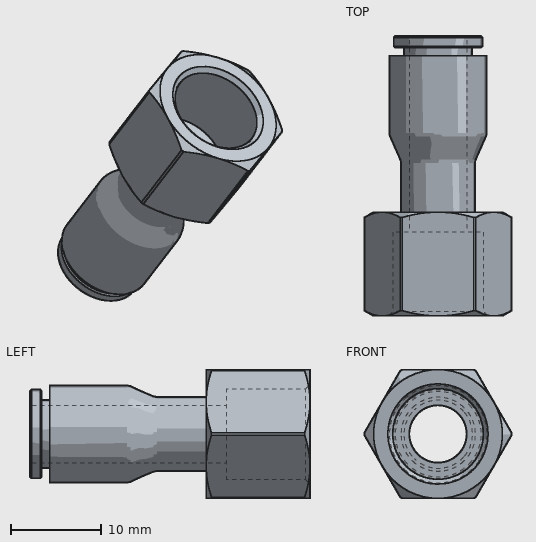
import cadquery as cq
import math

total_length = 31.05
nut_length = 11.52
cone_start = 17.17
cone_end = 20.1
body_end = 28.88
flange_start = 29.75

hex_sides = 6
across_flats = 14.28
across_corners = 16.33
nut_chamfer_angle = 30.0

stem_diameter = 8.23
body_diameter = 10.8
collar_diameter = 7.58
flange_diameter = 9.87
flange_chamfer = 0.2
cone_blend_radius = 1.0
selection_margin = 0.3

socket_diameter = 10.05
socket_mouth_diameter = 11.12
socket_depth = 9.3
through_diameter = 6.33


def revolve_profile(points):
    """Turn a closed (radius, length) outline around the Y axis."""
    return cq.Workplane("XY").polyline(points).close().revolve(360, (0, 0, 0), (0, 1, 0))


def make_nut():
    """Hexagon with flats facing +Z and -Z, turned down at its corners and ends."""
    hexagon = (
        cq.Workplane("XZ")
        .polygon(hex_sides, across_flats / math.cos(math.pi / hex_sides))
        .extrude(-nut_length)
    )
    face_radius = across_flats / 2
    corner_radius = across_corners / 2
    chamfer_length = (corner_radius - face_radius) * math.tan(math.radians(nut_chamfer_angle))
    turned_blank = revolve_profile([
        (0, 0),
        (face_radius, 0),
        (corner_radius, chamfer_length),
        (corner_radius, nut_length - chamfer_length),
        (face_radius, nut_length),
        (0, nut_length),
    ])
    return hexagon.intersect(turned_blank)


def make_body():
    """Stem, cone and cylinder with blended cone ends, then the collar and its flange."""
    stem_radius = stem_diameter / 2
    body_radius = body_diameter / 2
    barrel = revolve_profile([
        (0, 0),
        (stem_radius, 0),
        (stem_radius, cone_start),
        (body_radius, cone_end),
        (body_radius, body_end),
        (0, body_end),
    ])
    cone_edges = cq.selectors.BoxSelector(
        (-body_diameter, cone_start - selection_margin, -body_diameter),
        (body_diameter, cone_end + selection_margin, body_diameter),
    )
    barrel = barrel.edges("%CIRCLE").edges(cone_edges).fillet(cone_blend_radius)
    collar = cq.Workplane("XZ").circle(collar_diameter / 2).extrude(-total_length)
    flange = (
        cq.Workplane("XZ", origin=(0, flange_start, 0))
        .circle(flange_diameter / 2)
        .extrude(flange_start - total_length)
        .edges()
        .chamfer(flange_chamfer)
    )
    return barrel.union(collar).union(flange)


def make_bores():
    """Socket with a 45 degree mouth chamfer, and the hole running right through."""
    socket_radius = socket_diameter / 2
    mouth_radius = socket_mouth_diameter / 2
    through_radius = through_diameter / 2
    return revolve_profile([
        (0, 0),
        (mouth_radius, 0),
        (socket_radius, mouth_radius - socket_radius),
        (socket_radius, socket_depth),
        (through_radius, socket_depth),
        (through_radius, total_length),
        (0, total_length),
    ])


result = make_nut().union(make_body()).cut(make_bores())